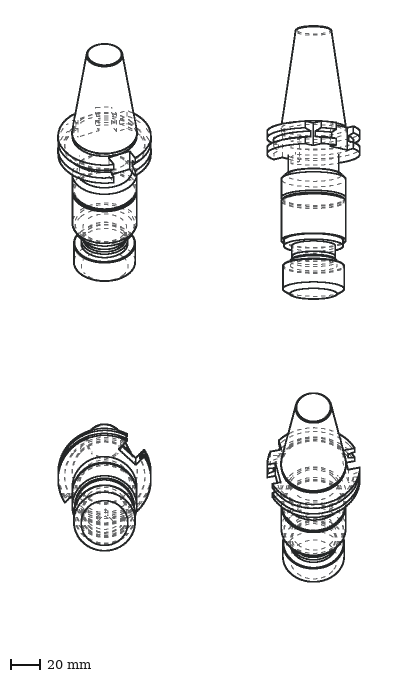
import cadquery as cq

TOTAL_HEIGHT = 184.8
NUT_HEIGHT = 20.0
NUT_BEVEL_HEIGHT = 3.3
NUT_TOP_CHAMFER = 0.5
COLLAR_TOP = 23.0
COLLAR_BEVEL_TOP = 24.0
SPINDLE_STEP = 26.2
BODY_STEP_BOTTOM = 33.5
BODY_BOTTOM = 37.3
BODY_TOP = 65.0
GROOVE_BEVEL_BOTTOM = 66.2
RING_BOTTOM = 67.3
RING_BEVEL_BOTTOM = 80.2
RING_TOP = 83.4
FLANGE_BOTTOM = 97.8
FLANGE_HEIGHT = 15.7
FLANGE_TOP = FLANGE_BOTTOM + FLANGE_HEIGHT
TAPER_BOTTOM = 115.9
TAPER_CHAMFER = 0.7

NUT_FACE_DIAMETER = 32.0
NUT_DIAMETER = 42.0
COLLAR_DIAMETER = 32.0
SPINDLE_LOWER_DIAMETER = 29.5
SPINDLE_UPPER_DIAMETER = 30.0
BODY_STEP_DIAMETER = 40.5
BODY_DIAMETER = 44.0
BODY_GROOVE_DIAMETER = 41.4
RING_TOP_DIAMETER = 37.7
NECK_DIAMETER = 34.5
NECK_FILLET = 0.7
FLANGE_DIAMETER = 63.4
TAPER_SEAT_DIAMETER = 44.0
TAPER_LARGE_DIAMETER = 44.5
TAPER_RATIO = 7 / 24

V_GROOVE_ROOT_DIAMETER = 54.7
V_GROOVE_ROOT_WIDTH = 3.7
V_GROOVE_MOUTH_WIDTH = 6.7
V_GROOVE_HEIGHT = FLANGE_BOTTOM + 7.8

SLOT_WIDTH = 16.0
LEFT_SLOT_FLOOR = 24.8
RIGHT_SLOT_FLOOR = 22.4
NOTCH_X = -18.3
NOTCH_Y = 18.1


def revolve_profile(points):
    """Turn (diameter, height) points into a solid around the Z axis."""
    outline = [(diameter / 2, height) for diameter, height in points]
    bottom = outline[0][1]
    top = outline[-1][1]
    closed = [(0, bottom)] + outline + [(0, top)]
    return cq.Workplane("XZ").polyline(closed).close().revolve(360, (0, 0), (0, 1))


def make_nut_and_spindle():
    return revolve_profile([
        (NUT_FACE_DIAMETER, 0),
        (NUT_DIAMETER, NUT_BEVEL_HEIGHT),
        (NUT_DIAMETER, NUT_HEIGHT - NUT_TOP_CHAMFER),
        (NUT_DIAMETER - 2 * NUT_TOP_CHAMFER, NUT_HEIGHT),
        (COLLAR_DIAMETER, NUT_HEIGHT),
        (COLLAR_DIAMETER, COLLAR_TOP),
        (SPINDLE_LOWER_DIAMETER, COLLAR_BEVEL_TOP),
        (SPINDLE_LOWER_DIAMETER, SPINDLE_STEP),
        (SPINDLE_UPPER_DIAMETER, SPINDLE_STEP),
        (SPINDLE_UPPER_DIAMETER, BODY_STEP_BOTTOM),
    ])


def make_body():
    return revolve_profile([
        (BODY_STEP_DIAMETER, BODY_STEP_BOTTOM),
        (BODY_STEP_DIAMETER, BODY_BOTTOM),
        (BODY_DIAMETER, BODY_BOTTOM),
        (BODY_DIAMETER, BODY_TOP),
        (BODY_GROOVE_DIAMETER, BODY_TOP),
        (BODY_GROOVE_DIAMETER, GROOVE_BEVEL_BOTTOM),
        (BODY_DIAMETER, RING_BOTTOM),
        (BODY_DIAMETER, RING_BEVEL_BOTTOM),
        (RING_TOP_DIAMETER, RING_TOP),
    ])


def make_neck():
    """Neck whose ends flare into the ring below and the flange above."""
    radius = NECK_DIAMETER / 2
    flare_radius = radius + NECK_FILLET
    arc_bulge = NECK_FILLET * (1 - 0.5 ** 0.5)
    return (
        cq.Workplane("XZ")
        .moveTo(0, RING_TOP)
        .lineTo(flare_radius, RING_TOP)
        .threePointArc((radius + arc_bulge, RING_TOP + arc_bulge), (radius, RING_TOP + NECK_FILLET))
        .lineTo(radius, FLANGE_BOTTOM - NECK_FILLET)
        .threePointArc((radius + arc_bulge, FLANGE_BOTTOM - arc_bulge), (flare_radius, FLANGE_BOTTOM))
        .lineTo(0, FLANGE_BOTTOM)
        .close()
        .revolve(360, (0, 0), (0, 1))
    )


def make_flange_cutter(x_min, x_max, y_min, y_max):
    return (
        cq.Workplane("XY", origin=(0, 0, FLANGE_BOTTOM))
        .moveTo((x_min + x_max) / 2, (y_min + y_max) / 2)
        .rect(x_max - x_min, y_max - y_min)
        .extrude(FLANGE_HEIGHT)
    )


def make_flange():
    """Grooved flange with two drive slots and one corner notch."""
    half_root = V_GROOVE_ROOT_WIDTH / 2
    half_mouth = V_GROOVE_MOUTH_WIDTH / 2
    flange = revolve_profile([
        (FLANGE_DIAMETER, FLANGE_BOTTOM),
        (FLANGE_DIAMETER, V_GROOVE_HEIGHT - half_mouth),
        (V_GROOVE_ROOT_DIAMETER, V_GROOVE_HEIGHT - half_root),
        (V_GROOVE_ROOT_DIAMETER, V_GROOVE_HEIGHT + half_root),
        (FLANGE_DIAMETER, V_GROOVE_HEIGHT + half_mouth),
        (FLANGE_DIAMETER, FLANGE_TOP),
    ])
    reach = FLANGE_DIAMETER
    half_slot = SLOT_WIDTH / 2
    left_slot = make_flange_cutter(-reach, -LEFT_SLOT_FLOOR, -half_slot, half_slot)
    right_slot = make_flange_cutter(RIGHT_SLOT_FLOOR, reach, -half_slot, half_slot)
    notch = make_flange_cutter(-reach, NOTCH_X, NOTCH_Y, reach)
    return flange.cut(left_slot).cut(right_slot).cut(notch)


def make_taper():
    chamfer_bottom = TOTAL_HEIGHT - TAPER_CHAMFER
    small_diameter = TAPER_LARGE_DIAMETER - TAPER_RATIO * (chamfer_bottom - TAPER_BOTTOM)
    return revolve_profile([
        (TAPER_SEAT_DIAMETER, FLANGE_TOP),
        (TAPER_SEAT_DIAMETER, TAPER_BOTTOM),
        (TAPER_LARGE_DIAMETER, TAPER_BOTTOM),
        (small_diameter, chamfer_bottom),
        (small_diameter - 2 * TAPER_CHAMFER, TOTAL_HEIGHT),
    ])


result = (
    make_nut_and_spindle()
    .union(make_body())
    .union(make_neck())
    .union(make_flange())
    .union(make_taper())
)